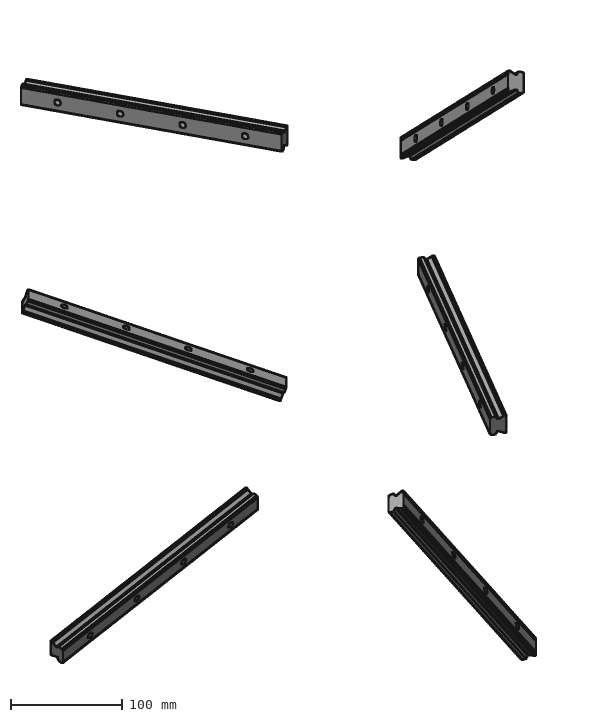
import cadquery as cq

length = 250.0
depth = 15.5
height = 20.0

front_chamfer = 1.5
land_end = 5.2
groove_wall = 7.0
groove_floor_end = 8.2
groove_depth = 3.0
slope_end = 12.0
slope_end_drop = 1.0
lip_foot_drop = 0.8
lip_foot = 12.8
lip_start = 13.5
back_chamfer = 0.8

relief_start = 1.8
relief_end = 3.5
relief_depth = 0.2
relief_taper = 0.2

hole_diameter = 6.0
hole_pitch = 60.0
hole_count = 4
first_hole = 35.0

front = -depth / 2
back = depth / 2
top = height / 2


def upper_profile():
    """Upper half of the outline, from the front face to the back face."""
    return [
        (front, top - front_chamfer),
        (front + front_chamfer, top),
        (front + land_end, top),
        (front + groove_wall, top - groove_depth),
        (front + groove_floor_end, top - groove_depth),
        (front + slope_end, top - slope_end_drop),
        (front + lip_foot, top - lip_foot_drop),
        (front + lip_start, top),
        (back - back_chamfer, top),
        (back, top - back_chamfer),
        (back, top - relief_start),
        (back - relief_depth, top - relief_start - relief_taper),
        (back - relief_depth, top - relief_end + relief_taper),
        (back, top - relief_end),
    ]


def rail_body():
    upper = upper_profile()
    lower = [(y, -z) for y, z in reversed(upper)]
    outline = cq.Workplane("YZ").polyline(upper + lower).close()
    return outline.extrude(length / 2, both=True)


def mounting_holes():
    centers = [(-length / 2 + first_hole + i * hole_pitch, 0) for i in range(hole_count)]
    holes = cq.Workplane("XZ").pushPoints(centers).circle(hole_diameter / 2)
    return holes.extrude(depth, both=True)


result = rail_body().cut(mounting_holes())